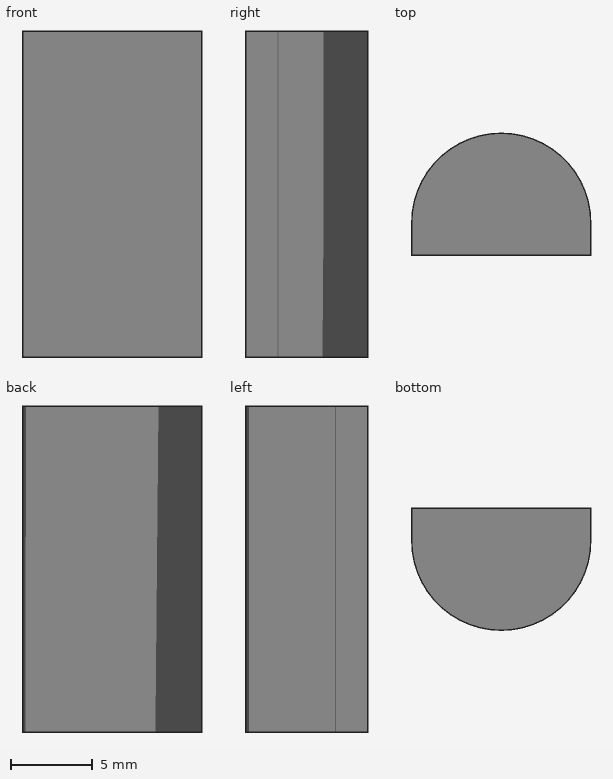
import cadquery as cq

width = 11.0
depth = 7.5
height = 20.0

radius = width / 2
straight_side = depth - radius

outline = (
    cq.Workplane("XY")
    .moveTo(-radius, 0)
    .lineTo(radius, 0)
    .lineTo(radius, straight_side)
    .threePointArc((0, depth), (-radius, straight_side))
    .close()
)

result = outline.extrude(height)